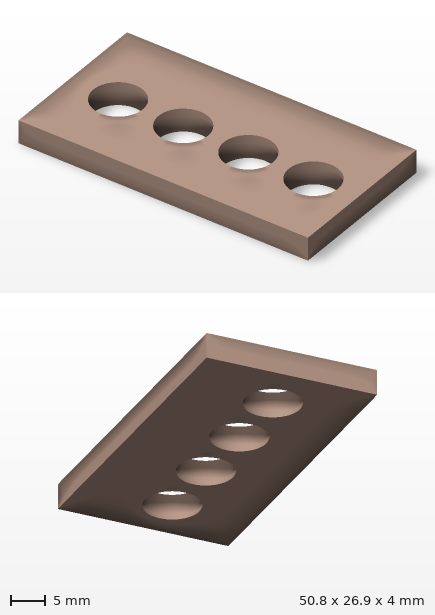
import cadquery as cq

length = 50.8
width = 26.9
thickness = 4.0

hole_diameter = 8.65
hole_count = 4
hole_pitch = 11.45
first_hole_from_left = 8.65
row_from_front = 12.5

plate = cq.Workplane("XY").box(length, width, thickness, centered=False)

hole_centers = [
    (first_hole_from_left + index * hole_pitch, row_from_front)
    for index in range(hole_count)
]
holes = (
    cq.Workplane("XY")
    .pushPoints(hole_centers)
    .circle(hole_diameter / 2)
    .extrude(thickness)
)

result = plate.cut(holes)